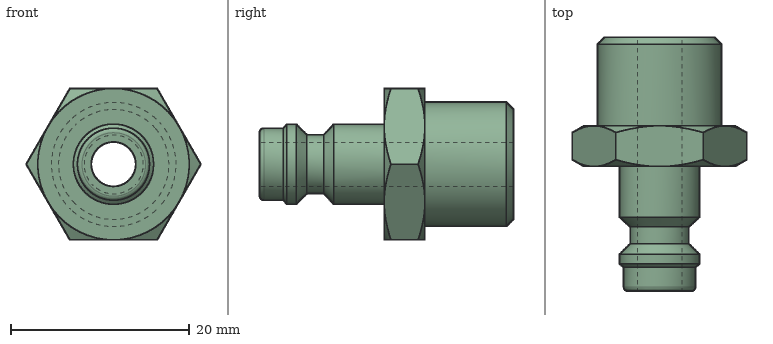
import cadquery as cq
import math

total_length = 28.5
nose_end = 2.68
collar_start = 3.08
collar_end = 4.13
groove_start = 5.33
groove_end = 7.2
stem_start = 8.32
hex_start = 14.0
hex_end = 18.55

bore_radius = 2.48
nose_radius = 4.05
stem_radius = 4.5
groove_radius = 3.3
shank_radius = 6.98
tip_fillet = 0.48
shank_chamfer = 0.8

across_flats = 17.0
flat_radius = across_flats / 2
corner_radius = flat_radius / math.cos(math.radians(30))
corner_chamfer_angle = 30.0
corner_chamfer_depth = (corner_radius - flat_radius) * math.tan(math.radians(corner_chamfer_angle))


def revolve_profile(points):
    """Revolve a closed (radius, y) outline about the Y axis."""
    return cq.Workplane("XY").polyline(points).close().revolve(360, (0, 0, 0), (0, 1, 0))


def make_plug():
    """Quick-connect nose, collar, locking groove and stem."""
    plug = revolve_profile([
        (0, 0),
        (nose_radius, 0),
        (nose_radius, nose_end),
        (stem_radius, collar_start),
        (stem_radius, collar_end),
        (groove_radius, groove_start),
        (groove_radius, groove_end),
        (stem_radius, stem_start),
        (stem_radius, hex_start),
        (0, hex_start),
    ])
    return plug.faces("<Y").edges().fillet(tip_fillet)


def make_hexagon():
    """Wrench hexagon with conically chamfered corners on both faces."""
    prism = (
        cq.Workplane("XZ", origin=(0, hex_start, 0))
        .polygon(6, 2 * corner_radius)
        .extrude(hex_start - hex_end)
    )
    corner_cones = revolve_profile([
        (0, hex_start),
        (flat_radius, hex_start),
        (corner_radius, hex_start + corner_chamfer_depth),
        (corner_radius, hex_end - corner_chamfer_depth),
        (flat_radius, hex_end),
        (0, hex_end),
    ])
    return prism.intersect(corner_cones)


def make_shank():
    """Plain cylindrical shank with a chamfered end."""
    return revolve_profile([
        (0, hex_end),
        (shank_radius, hex_end),
        (shank_radius, total_length - shank_chamfer),
        (shank_radius - shank_chamfer, total_length),
        (0, total_length),
    ])


def make_bore():
    """Straight bore through the full length."""
    return cq.Workplane("XZ").circle(bore_radius).extrude(-total_length)


result = make_plug().union(make_hexagon()).union(make_shank()).cut(make_bore())